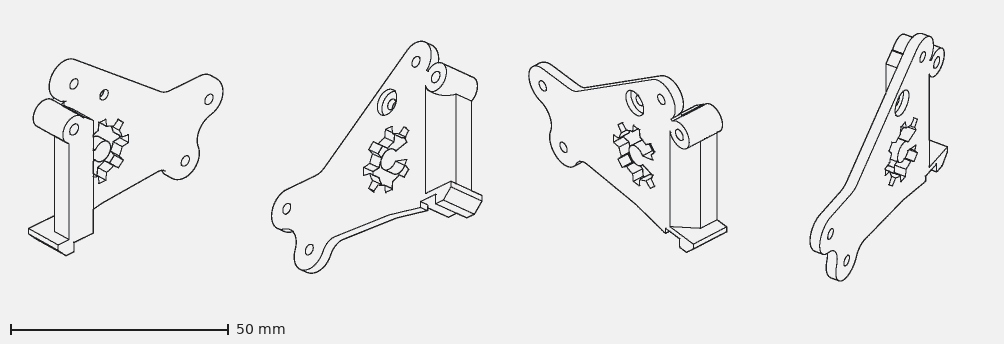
import cadquery as cq
import math

total_width = 10.0
total_length = 59.0
total_height = 45.5
plate_thickness = 3.0
lobe_radius = 5.0
fillet_radius = 5.0
lower_fillet_radius = 4.0
edge_round = 1.0
screw_hole_diameter = 2.6

rear_hole = (total_length - lobe_radius, 18.45)
lower_hole = (46.55, lobe_radius)
upper_hole = (11.5, total_height - lobe_radius)
counterbored_hole = (21.0, 33.6)
counterbore_diameter = 6.4
counterbore_depth = 1.5

top_bend_y = 42.9
bottom_inner = (39.25, 5.25)
bottom_bend = (20.55, 4.1)
bottom_front = (10.05, 2.05)
plate_front_y = 8.45

barrel_center = (5.0, 34.05)
barrel_diameter = 7.1
barrel_bore_diameter = 2.8

column_front_y = 3.4
column_bevel = plate_front_y - column_front_y
column_back_y = 11.1

roof_front = (7.9, 35.9)
roof_ridge = (8.4, 35.95)
roof_back = (column_back_y, 33.9)

neck_front = (7.4, 36.4)
neck_back = (plate_front_y, 37.15)

foot_top_z = 5.1
foot_bottom_z = 3.6
hook_bottom_z = 1.1
hook_back_y = 5.0
hook_chamfer = foot_bottom_z - hook_bottom_z

gear_center = (20.5, 18.5)
gear_root_radius = 6.3
gear_tip_distance = 8.2
tooth_root_half_width = 1.3
tooth_tip_half_width = 1.05
tooth_count = 8
hub_radius = 2.6
spoke_hub_half_width = 1.3
spoke_root_half_width = 2.25


def prism(points, length):
    """Extrude a closed (Y, Z) polygon along +X."""
    return cq.Workplane("YZ").polyline(points).close().extrude(length)


def cylinder(center, diameter, length):
    """Cylinder along +X with its base at X = 0."""
    return cq.Workplane("YZ").center(*center).circle(diameter / 2).extrude(length)


def toward(start, end, distance):
    """Point at the given distance from start in the direction of end."""
    share = distance / math.dist(start, end)
    return tuple(a + share * (b - a) for a, b in zip(start, end))


def polar(center, radius, angle):
    """Point on a circle; the angle is in radians from +Y towards +Z."""
    return (center[0] + radius * math.cos(angle), center[1] + radius * math.sin(angle))


def make_plate():
    bend = (top_bend_y, rear_hole[1] + lobe_radius)
    bend_distance = math.dist(bend, upper_hole)
    to_upper = math.atan2(upper_hole[1] - bend[1], upper_hole[0] - bend[0])
    slope_angle = to_upper - math.asin(lobe_radius / bend_distance)
    slope_end = polar(upper_hole, lobe_radius, slope_angle - math.pi / 2)
    slope_turn = math.pi - slope_angle
    bend_setback = fillet_radius * math.tan(slope_turn / 2)
    bend_start = (bend[0] + bend_setback, bend[1])
    bend_end = polar(bend, bend_setback, slope_angle)
    bend_center = (bend_start[0], bend[1] + fillet_radius)
    bend_middle = polar(bend_center, fillet_radius, -math.pi / 2 - slope_turn / 2)

    lobe_drop = math.sqrt(lobe_radius**2 - (upper_hole[0] - plate_front_y) ** 2)
    upper_lobe_end = (plate_front_y, upper_hole[1] - lobe_drop)
    upper_lobe_side = (upper_hole[0] - lobe_radius, upper_hole[1])

    lower_reach = lobe_radius + lower_fillet_radius
    edge_angle = math.atan2(bottom_inner[1] - bottom_bend[1], bottom_inner[0] - bottom_bend[0])
    normal_angle = edge_angle + math.pi / 2
    offset_point = polar(bottom_inner, -lower_fillet_radius, normal_angle)
    gap = (lower_hole[0] - offset_point[0], lower_hole[1] - offset_point[1])
    along = gap[0] * math.cos(edge_angle) + gap[1] * math.sin(edge_angle)
    across = gap[0] * math.cos(normal_angle) + gap[1] * math.sin(normal_angle)
    blend_center = polar(offset_point, along - math.sqrt(lower_reach**2 - across**2), edge_angle)
    blend_start = polar(blend_center, lower_fillet_radius, normal_angle)
    blend_end = toward(blend_center, lower_hole, lower_fillet_radius)
    chord_middle = tuple((a + b) / 2 for a, b in zip(blend_start, blend_end))
    blend_middle = toward(blend_center, chord_middle, lower_fillet_radius)

    between = tuple((a + b) / 2 for a, b in zip(lower_hole, rear_hole))
    lobe_line_angle = math.atan2(rear_hole[1] - lower_hole[1], rear_hole[0] - lower_hole[0])
    reach = lobe_radius + fillet_radius
    notch_offset = math.sqrt(reach**2 - math.dist(lower_hole, between) ** 2)
    notch_center = polar(between, notch_offset, lobe_line_angle - math.pi / 2)
    notch_start = toward(lower_hole, notch_center, lobe_radius)
    notch_middle = toward(notch_center, between, fillet_radius)
    notch_end = toward(rear_hole, notch_center, lobe_radius)

    outline = (
        cq.Workplane("YZ")
        .moveTo(rear_hole[0], rear_hole[1] + lobe_radius)
        .lineTo(*bend_start)
        .threePointArc(bend_middle, bend_end)
        .lineTo(*slope_end)
        .threePointArc(upper_lobe_side, upper_lobe_end)
        .lineTo(plate_front_y, foot_bottom_z)
        .lineTo(bottom_front[0], foot_bottom_z)
        .lineTo(*bottom_front)
        .lineTo(*bottom_bend)
        .lineTo(*blend_start)
        .threePointArc(blend_middle, blend_end)
        .threePointArc((lower_hole[0], 0), notch_start)
        .threePointArc(notch_middle, notch_end)
        .threePointArc((total_length, rear_hole[1]), (rear_hole[0], rear_hole[1] + lobe_radius))
        .close()
    )
    return outline.extrude(plate_thickness).faces(">X").edges().fillet(edge_round)


def make_gear_window():
    window = cylinder(gear_center, 2 * gear_root_radius, plate_thickness)
    root_distance = math.sqrt(gear_root_radius**2 - tooth_root_half_width**2)
    tooth_points = [
        (0, -tooth_root_half_width),
        (root_distance, -tooth_root_half_width),
        (gear_tip_distance, -tooth_tip_half_width),
        (gear_tip_distance, tooth_tip_half_width),
        (root_distance, tooth_root_half_width),
        (0, tooth_root_half_width),
    ]
    tooth = prism(tooth_points, plate_thickness)
    for index in range(tooth_count):
        if index != tooth_count // 2:
            turned = tooth.rotate((0, 0, 0), (1, 0, 0), index * 360 / tooth_count)
            window = window.union(turned.translate((0, *gear_center)))

    hub = cylinder(gear_center, 2 * hub_radius, plate_thickness)
    spoke_hub_distance = math.sqrt(hub_radius**2 - spoke_hub_half_width**2)
    spoke_root_distance = math.sqrt(gear_root_radius**2 - spoke_root_half_width**2)
    spoke_points = [
        (-spoke_hub_distance, -spoke_hub_half_width),
        (-spoke_root_distance, -spoke_root_half_width),
        (-gear_tip_distance, -spoke_root_half_width),
        (-gear_tip_distance, spoke_root_half_width),
        (-spoke_root_distance, spoke_root_half_width),
        (-spoke_hub_distance, spoke_hub_half_width),
    ]
    spoke = prism(spoke_points, plate_thickness).translate((0, *gear_center))
    return window.cut(hub).cut(spoke)


def make_column():
    profile = [
        (column_front_y, foot_bottom_z),
        (column_front_y, barrel_center[1]),
        barrel_center,
        roof_front,
        roof_ridge,
        roof_back,
        (column_back_y, foot_bottom_z),
    ]
    bevel_outline = [(0, column_front_y), (0, plate_front_y), (column_bevel, column_front_y)]
    bevel = cq.Workplane("XY").polyline(bevel_outline).close().extrude(barrel_center[1])
    return prism(profile, total_width).cut(bevel)


def make_neck():
    outline = [barrel_center, neck_front, neck_back, (plate_front_y, barrel_center[1])]
    return prism(outline, plate_thickness)


def make_foot():
    outline = [
        (column_back_y, foot_top_z),
        (0, foot_top_z),
        (0, foot_bottom_z),
        (hook_chamfer, hook_bottom_z),
        (hook_back_y, hook_bottom_z),
        (hook_back_y, foot_bottom_z),
        (column_back_y, foot_bottom_z),
    ]
    return prism(outline, total_width)


result = make_plate().cut(make_gear_window())
result = result.union(make_neck()).union(make_column()).union(make_foot())
result = result.union(cylinder(barrel_center, barrel_diameter, total_width))

for hole in (rear_hole, lower_hole, upper_hole, counterbored_hole):
    result = result.cut(cylinder(hole, screw_hole_diameter, plate_thickness))
result = result.cut(cylinder(counterbored_hole, counterbore_diameter, counterbore_depth))
result = result.cut(cylinder(barrel_center, barrel_bore_diameter, total_width))